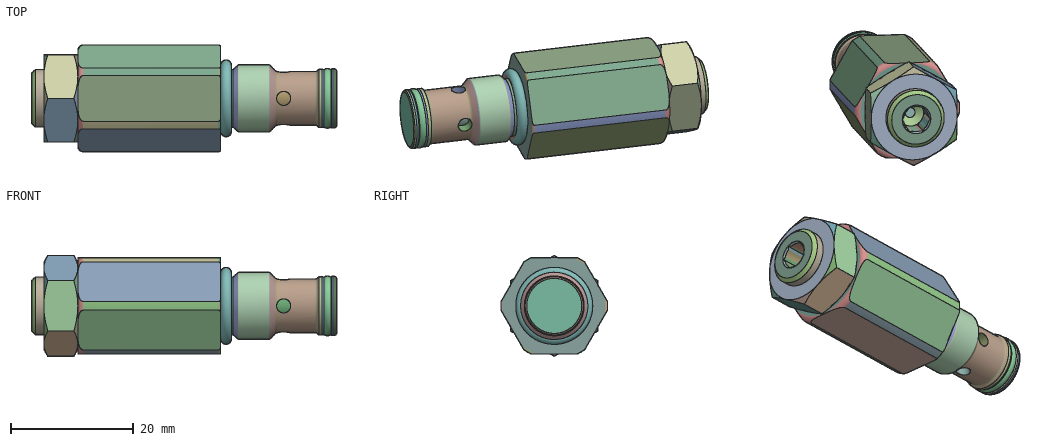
import cadquery as cq
import math

TOTAL_LENGTH = 49.9

FULL_TURN = 360
HEXAGON_SIDES = 6
HEXAGON_HALF_ANGLE = math.radians(FULL_TURN / (2 * HEXAGON_SIDES))

SCREW_DIAMETER = 9.45
SCREW_CHAMFER = 0.6

SOCKET_ACROSS_FLATS = 4.0
SOCKET_DRILL_DIAMETER = 4.2
SOCKET_MOUTH_DIAMETER = 4.75
SOCKET_DEPTH = 5.0
SOCKET_CONE_ANGLE = 118.0
SOCKET_FLOOR_DIAMETER = 1.65

NUT_START = 2.0
NUT_LENGTH = 5.55
NUT_ACROSS_FLATS = 14.29
NUT_CHAMFER_ANGLE = 30.0
NUT_CORNER_DIRECTION = 90.0

BODY_START = NUT_START + NUT_LENGTH
BODY_END = 30.9
BODY_ACROSS_FLATS = 15.8
BODY_CORNER_DIAMETER = 17.48
BODY_NUT_SIDE_ROUND = 0.9
BODY_SEAL_SIDE_ROUND = 0.3

BODY_SEAL_SECTION = 1.78
BODY_SEAL_DIAMETER = 12.6
NECK_DIAMETER = 9.5

COLLAR_DIAMETER = 11.0
COLLAR_START = BODY_END + BODY_SEAL_SECTION
COLLAR_LEAD_IN_START = 32.95
COLLAR_LEAD_IN_END = 33.8
COLLAR_TAPER_START = 38.9
COLLAR_EDGE_ROUND = 0.2

NOSE_DIAMETER = 8.85
NOSE_START = COLLAR_TAPER_START + (COLLAR_DIAMETER - NOSE_DIAMETER) / 2
NOSE_CORNER_ROUND = 0.35
CROSS_HOLE_DIAMETER = 2.3
CROSS_HOLE_POSITION = 41.2
CROSS_HOLE_COUNT = 4
CROSS_HOLE_FLOOR_DIAMETER = 5.0

BACKING_RAMP_START = 46.6
BACKING_START = 46.95
BACKING_BEVEL_START = 47.5
BACKING_END = 47.8
BACKING_DIAMETER = 9.6
BACKING_BEVEL_DIAMETER = 9.4
NOSE_SEAL_DIAMETER = 9.8
NOSE_SEAL_END_DIAMETER = 9.4
NOSE_SEAL_END = 48.9
FLANGE_START = 49.1
FLANGE_BEVEL_START = 49.45
FLANGE_DIAMETER = 9.75
FLANGE_EDGE_START = 49.75
FLANGE_EDGE_DIAMETER = 9.5
FLANGE_END_DIAMETER = 9.0


def cylinder(start, end, diameter):
    """Cylinder along X between two stations."""
    return cq.Workplane("YZ", origin=(start, 0, 0)).circle(diameter / 2).extrude(end - start)


def hexagon_prism(start, end, across_flats, corner_direction):
    """Hexagonal prism along X with one corner at corner_direction degrees from +Y."""
    corner_diameter = across_flats / math.cos(HEXAGON_HALF_ANGLE)
    outline = cq.Workplane("YZ", origin=(start, 0, 0)).polygon(HEXAGON_SIDES, corner_diameter)
    prism = outline.extrude(end - start)
    return prism.rotate((0, 0, 0), (1, 0, 0), corner_direction)


def revolve_about_axis(profile):
    """Turn a closed (x, radius) profile about the X axis."""
    return profile.close().revolve(FULL_TURN, (0, 0, 0), (1, 0, 0))


def make_screw():
    screw = cylinder(0, BODY_START, SCREW_DIAMETER)
    return screw.faces("<X").chamfer(SCREW_CHAMFER)


def make_socket():
    drill_radius = SOCKET_DRILL_DIAMETER / 2
    mouth_radius = SOCKET_MOUTH_DIAMETER / 2
    floor_radius = SOCKET_FLOOR_DIAMETER / 2
    mouth_depth = mouth_radius - drill_radius
    cone_depth = (drill_radius - floor_radius) / math.tan(math.radians(SOCKET_CONE_ANGLE / 2))
    drill = revolve_about_axis(
        cq.Workplane("XY")
        .moveTo(0, 0)
        .lineTo(0, mouth_radius)
        .lineTo(mouth_depth, drill_radius)
        .lineTo(SOCKET_DEPTH, drill_radius)
        .lineTo(SOCKET_DEPTH + cone_depth, floor_radius)
        .lineTo(SOCKET_DEPTH + cone_depth, 0)
    )
    return drill.union(hexagon_prism(0, SOCKET_DEPTH, SOCKET_ACROSS_FLATS, 0))


def make_nut():
    flat_radius = NUT_ACROSS_FLATS / 2
    corner_radius = flat_radius / math.cos(HEXAGON_HALF_ANGLE)
    chamfer_length = (corner_radius - flat_radius) * math.tan(math.radians(NUT_CHAMFER_ANGLE))
    envelope = revolve_about_axis(
        cq.Workplane("XY")
        .moveTo(NUT_START, 0)
        .lineTo(NUT_START, flat_radius)
        .lineTo(NUT_START + chamfer_length, corner_radius)
        .lineTo(BODY_START - chamfer_length, corner_radius)
        .lineTo(BODY_START, flat_radius)
        .lineTo(BODY_START, 0)
    )
    return hexagon_prism(NUT_START, BODY_START, NUT_ACROSS_FLATS, NUT_CORNER_DIRECTION).intersect(envelope)


def make_body():
    envelope = cylinder(BODY_START, BODY_END, BODY_CORNER_DIAMETER)
    envelope = envelope.faces("<X").edges().fillet(BODY_NUT_SIDE_ROUND)
    envelope = envelope.faces(">X").edges().fillet(BODY_SEAL_SIDE_ROUND)
    return hexagon_prism(BODY_START, BODY_END, BODY_ACROSS_FLATS, 0).intersect(envelope)


def make_body_seal():
    section_radius = BODY_SEAL_SECTION / 2
    center_x = BODY_END + section_radius
    center_radius = BODY_SEAL_DIAMETER / 2 - section_radius
    ring = (
        cq.Workplane("XY")
        .center(center_x, center_radius)
        .circle(section_radius)
        .revolve(FULL_TURN, (0, -center_radius, 0), (1, -center_radius, 0))
    )
    return ring.union(cylinder(BODY_END, COLLAR_START, NECK_DIAMETER))


def make_collar_and_nose():
    collar_and_nose = revolve_about_axis(
        cq.Workplane("XY")
        .moveTo(COLLAR_START, 0)
        .lineTo(COLLAR_START, NECK_DIAMETER / 2)
        .lineTo(COLLAR_LEAD_IN_START, NECK_DIAMETER / 2)
        .lineTo(COLLAR_LEAD_IN_END, COLLAR_DIAMETER / 2)
        .lineTo(COLLAR_TAPER_START, COLLAR_DIAMETER / 2)
        .lineTo(NOSE_START, NOSE_DIAMETER / 2)
        .lineTo(BACKING_RAMP_START, NOSE_DIAMETER / 2)
        .lineTo(BACKING_START, BACKING_DIAMETER / 2)
        .lineTo(BACKING_START, 0)
    )
    nose_corners = cq.selectors.RadiusNthSelector(0)
    rim_edges = cq.selectors.RadiusNthSelector(-1)
    collar_and_nose = collar_and_nose.edges(rim_edges).fillet(COLLAR_EDGE_ROUND)
    return collar_and_nose.edges(nose_corners).fillet(NOSE_CORNER_ROUND)


def make_nose_seal():
    seal_middle = (BACKING_END + NOSE_SEAL_END) / 2
    return revolve_about_axis(
        cq.Workplane("XY")
        .moveTo(BACKING_START, 0)
        .lineTo(BACKING_START, BACKING_DIAMETER / 2)
        .lineTo(BACKING_BEVEL_START, BACKING_DIAMETER / 2)
        .lineTo(BACKING_END, BACKING_BEVEL_DIAMETER / 2)
        .threePointArc(
            (seal_middle, NOSE_SEAL_DIAMETER / 2),
            (NOSE_SEAL_END, NOSE_SEAL_END_DIAMETER / 2),
        )
        .lineTo(FLANGE_START, FLANGE_DIAMETER / 2)
        .lineTo(FLANGE_BEVEL_START, FLANGE_DIAMETER / 2)
        .lineTo(FLANGE_EDGE_START, FLANGE_EDGE_DIAMETER / 2)
        .lineTo(TOTAL_LENGTH, FLANGE_END_DIAMETER / 2)
        .lineTo(TOTAL_LENGTH, 0)
    )


def make_cross_holes():
    drill = (
        cq.Workplane("XY", origin=(CROSS_HOLE_POSITION, 0, 0))
        .circle(CROSS_HOLE_DIAMETER / 2)
        .extrude(NOSE_DIAMETER)
    )
    holes = cq.Workplane("XY")
    for index in range(CROSS_HOLE_COUNT):
        angle = index * FULL_TURN / CROSS_HOLE_COUNT
        holes = holes.union(drill.rotate((0, 0, 0), (1, 0, 0), angle))
    core = cylinder(BODY_END, TOTAL_LENGTH, CROSS_HOLE_FLOOR_DIAMETER)
    return holes.cut(core)


result = (
    make_screw()
    .union(make_nut())
    .union(make_body())
    .union(make_body_seal())
    .union(make_collar_and_nose())
    .union(make_nose_seal())
    .cut(make_socket())
    .cut(make_cross_holes())
)